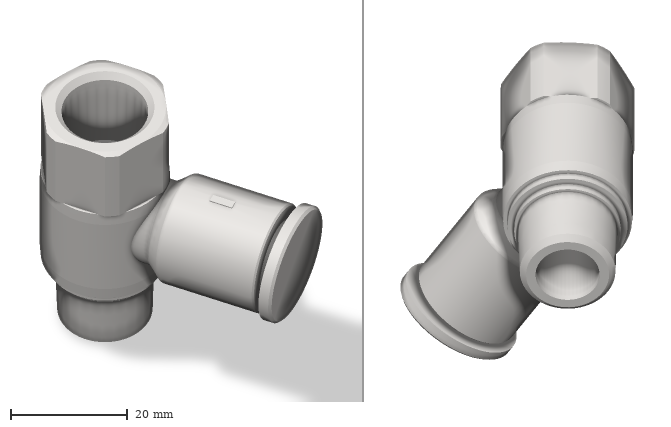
import cadquery as cq
import math

total_height = 50.8

hex_across_flats = 21.05
hex_corner_radius = 11.5
hex_bottom = 35.7
hex_rim_radius = 10.45
hex_rim_drop = 0.35

body_radius = 11.2
body_end_radius = 11.0
body_taper_length = 2.45
body_bottom = 14.9

upper_collar_radius = 10.25
lower_collar_radius = 9.15
collar_height = 1.4

thread_slope = 1 / 32
thread_top_radius = 8.55
thread_tip_radius = 7.1
thread_chamfer_height = 0.95

bore_radius = 5.5
socket_mouth_radius = 8.5
socket_radius = 7.4
socket_chamfer_depth = socket_mouth_radius - socket_radius
socket_depth = 15.5

port_height = 26.65
neck_radius = 7.55
neck_end = 11.25
barrel_radius = 9.85
barrel_start = 14.0
barrel_end = 32.05
barrel_end_chamfer = 0.3
shoulder_fillet = 1.0

sleeve_radius = 7.1
flange_width = 22.5
flange_height = 19.5
flange_start = 33.65
flange_end = 35.9
flange_chamfer = 0.45

mark_start = 19.9
mark_length = 4.15
mark_width = 1.45
mark_rise = 0.2


def revolved_about_z(profile):
    """Solid of revolution from (radius, height) points."""
    return cq.Workplane("XZ").polyline(profile).close().revolve(360, (0, 0, 0), (0, 1, 0))


def make_stem():
    collar_step = body_bottom - collar_height
    thread_top = collar_step - collar_height
    thread_end_radius = thread_top_radius - thread_slope * (thread_top - thread_chamfer_height)
    return revolved_about_z([
        (0, 0),
        (thread_tip_radius, 0),
        (thread_end_radius, thread_chamfer_height),
        (thread_top_radius, thread_top),
        (lower_collar_radius, thread_top),
        (lower_collar_radius, collar_step),
        (upper_collar_radius, collar_step),
        (upper_collar_radius, body_bottom),
        (body_end_radius, body_bottom),
        (body_radius, body_bottom + body_taper_length),
        (body_radius, hex_bottom - body_taper_length),
        (body_end_radius, hex_bottom),
        (0, hex_bottom),
    ])


def make_hex_head():
    half_corner_angle = math.pi / 6
    corner_diameter = hex_across_flats / math.cos(half_corner_angle)
    prism = (
        cq.Workplane("XY", origin=(0, 0, hex_bottom))
        .polygon(6, corner_diameter)
        .extrude(total_height - hex_bottom)
    )
    turned_envelope = revolved_about_z([
        (0, hex_bottom),
        (hex_corner_radius, hex_bottom),
        (hex_corner_radius, total_height - hex_rim_drop),
        (hex_rim_radius, total_height),
        (0, total_height),
    ])
    return prism.intersect(turned_envelope)


def make_bore():
    socket_bottom = total_height - socket_depth
    chamfer_bottom = total_height - socket_chamfer_depth
    socket_bottom_radius = socket_radius - thread_slope * (chamfer_bottom - socket_bottom)
    return revolved_about_z([
        (0, 0),
        (bore_radius, 0),
        (bore_radius, socket_bottom),
        (socket_bottom_radius, socket_bottom),
        (socket_radius, chamfer_bottom),
        (socket_mouth_radius, total_height),
        (0, total_height),
    ])


def make_port():
    port = (
        cq.Workplane("XZ", origin=(0, 0, port_height))
        .polyline([
            (0, 0),
            (0, neck_radius),
            (neck_end, neck_radius),
            (barrel_start, barrel_radius),
            (barrel_end, barrel_radius),
            (barrel_end, sleeve_radius),
            (flange_start, sleeve_radius),
            (flange_start, 0),
        ])
        .close()
        .revolve(360, (0, 0, 0), (1, 0, 0))
    )
    for shoulder_edge in (neck_end, barrel_start):
        edge_centre = (shoulder_edge, 0, port_height)
        port = port.edges(cq.NearestToPointSelector(edge_centre)).fillet(shoulder_fillet)
    outer_rim = port.faces(cq.NearestToPointSelector((barrel_end, 0, port_height))).edges(
        cq.selectors.RadiusNthSelector(-1)
    )
    return outer_rim.chamfer(barrel_end_chamfer)


def make_flange():
    return (
        cq.Workplane("YZ", origin=(flange_start, 0, port_height))
        .ellipse(flange_width / 2, flange_height / 2)
        .extrude(flange_end - flange_start)
        .faces(">X")
        .chamfer(flange_chamfer)
    )


def make_mark():
    block_height = barrel_radius + mark_rise - neck_radius
    return (
        cq.Workplane("XY", origin=(mark_start + mark_length / 2, 0, port_height + neck_radius))
        .rect(mark_length, mark_width)
        .extrude(block_height)
    )


outside = make_stem().union(make_hex_head())
outside = outside.union(make_port()).union(make_flange()).union(make_mark())
result = outside.cut(make_bore())